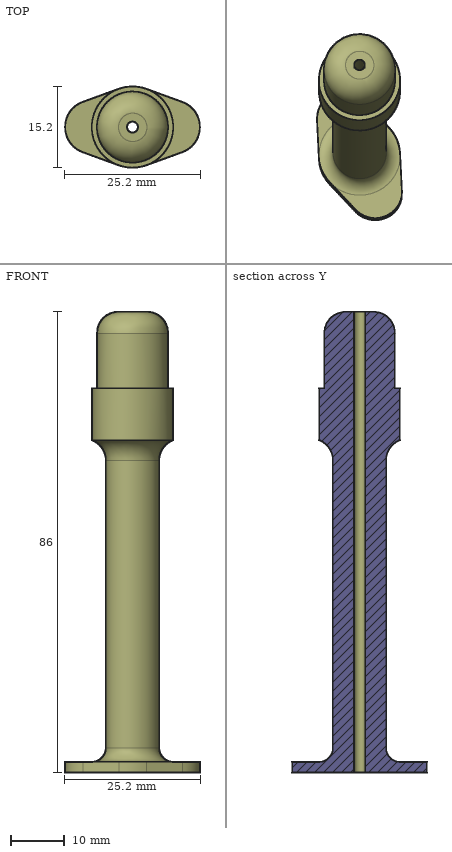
import cadquery as cq
import math

flange_length = 25.2
flange_width = 15.2
flange_thickness = 2.0
flange_end_radius = 5.0

total_height = 86.0
stem_diameter = 10.0
collar_diameter = flange_width
collar_bottom = 62.0
collar_top = 71.7
collar_flare_radius = 4.0
cap_diameter = 13.3
cap_round_radius = 4.0
bore_diameter = 2.0

stem_radius = stem_diameter / 2
collar_radius = collar_diameter / 2
cap_radius = cap_diameter / 2


def make_flange():
    """Diamond-shaped plate: a middle arc and two end arcs joined by tangent lines."""
    middle_radius = flange_width / 2
    end_center = flange_length / 2 - flange_end_radius
    normal_x = (middle_radius - flange_end_radius) / end_center
    normal_y = math.sqrt(1 - normal_x**2)
    middle_x = middle_radius * normal_x
    middle_y = middle_radius * normal_y
    end_x = end_center + flange_end_radius * normal_x
    end_y = flange_end_radius * normal_y
    return (
        cq.Workplane("XY")
        .moveTo(-middle_x, middle_y)
        .threePointArc((0, middle_radius), (middle_x, middle_y))
        .lineTo(end_x, end_y)
        .threePointArc((flange_length / 2, 0), (end_x, -end_y))
        .lineTo(middle_x, -middle_y)
        .threePointArc((0, -middle_radius), (-middle_x, -middle_y))
        .lineTo(-end_x, -end_y)
        .threePointArc((-flange_length / 2, 0), (-end_x, end_y))
        .close()
        .extrude(flange_thickness)
    )


def make_body():
    """Revolved stem, flares, collar and rounded cap."""
    diagonal = math.sqrt(0.5)

    base_flare = flange_width / 2 - stem_radius
    base_flare_top = flange_thickness + base_flare
    base_flare_middle = (
        stem_radius + base_flare * (1 - diagonal),
        base_flare_top - base_flare * diagonal,
    )

    flare_angle = math.acos(1 - (collar_radius - stem_radius) / collar_flare_radius)
    flare_bottom = collar_bottom - collar_flare_radius * math.sin(flare_angle)
    flare_middle = (
        stem_radius + collar_flare_radius * (1 - math.cos(flare_angle / 2)),
        flare_bottom + collar_flare_radius * math.sin(flare_angle / 2),
    )

    cap_round_bottom = total_height - cap_round_radius
    cap_flat_radius = cap_radius - cap_round_radius
    cap_round_middle = (
        cap_flat_radius + cap_round_radius * diagonal,
        cap_round_bottom + cap_round_radius * diagonal,
    )

    return (
        cq.Workplane("XZ")
        .moveTo(0, flange_thickness)
        .lineTo(flange_width / 2, flange_thickness)
        .threePointArc(base_flare_middle, (stem_radius, base_flare_top))
        .lineTo(stem_radius, flare_bottom)
        .threePointArc(flare_middle, (collar_radius, collar_bottom))
        .lineTo(collar_radius, collar_top)
        .lineTo(cap_radius, collar_top)
        .lineTo(cap_radius, cap_round_bottom)
        .threePointArc(cap_round_middle, (cap_flat_radius, total_height))
        .lineTo(0, total_height)
        .close()
        .revolve(360, (0, 0, 0), (0, 1, 0))
    )


def make_bore():
    """Axial bore through the full height."""
    return cq.Workplane("XY").circle(bore_diameter / 2).extrude(total_height)


result = make_flange().union(make_body()).cut(make_bore())